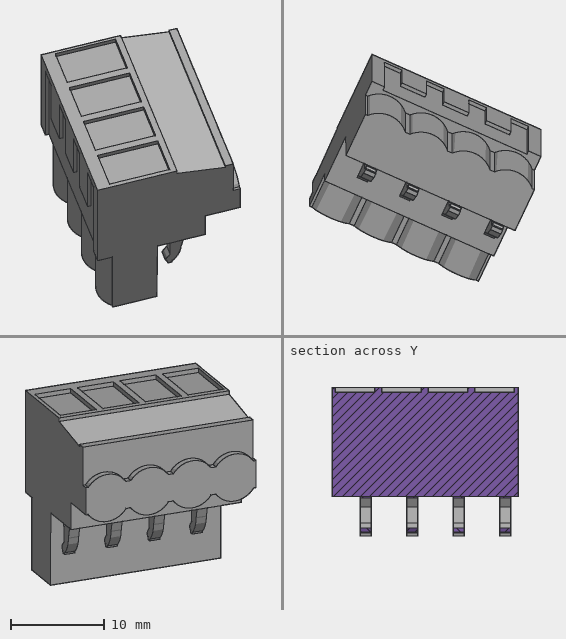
import cadquery as cq

pole_count = 4
width = 20.0
pitch = width / pole_count
height = 20.1

depth = 16.1
base_z = 8.36
rear_wall_y = 15.32
foot_rear_y = 12.16
lip_z = 19.0
lip_front_y = 14.41
slope_low_z = 18.75
slope_high_z = 19.7
deck_rear_y = 8.96

plug_front_y = 1.69
plug_rear_top_y = 6.77
plug_rear_bottom_y = 6.7
barrel_chord = 4.46
barrel_bulge = 0.98

boss_radius = 2.71
boss_z = 13.02
band_half_height = 1.57

pocket_width = 4.22
pocket_front_y = 1.49
pocket_length = 6.8
pocket_depth = 0.5
pocket_shift = -0.06

recess_margin = 1.49
recess_depth = 0.4
recess_top_z = 19.0
fin_width = 2.91
fin_bottom_z = 13.4

hook_width = 1.2
hook_shift = 1.1
hook_root_rear_y = 10.35
hook_root_front_y = 7.98

hook_flare_end = (10.1, 8.12)
hook_back_start = (9.67, 6.37)
hook_back_middle = (9.37, 5.23)
hook_back_end = (8.68, 4.35)

hook_tip_z = 4.12
hook_tip_rear_y = 8.65
hook_tip_front_y = 8.18

hook_knob_low = (8.12, 4.42)
hook_knob_peak = (7.9, 4.72)
hook_knob_high = (8.05, 5.02)
hook_front_y = 8.45
hook_front_low_z = 5.5
hook_front_high_z = 7.25

pole_centres = [(pole + 0.5) * pitch for pole in range(pole_count)]
pole_borders = [pole * pitch for pole in range(1, pole_count)]


def block(x, y, z, size_x, size_y, size_z):
    """Box given by its lowest corner and its sizes."""
    return cq.Workplane("XY").box(size_x, size_y, size_z, centered=False).translate((x, y, z))


def make_shell():
    """Side outline of the main block, rear band and plug, extruded across the width."""
    outline = [
        (0, height),
        (0, base_z),
        (plug_front_y, base_z),
        (plug_front_y, 0),
        (plug_rear_bottom_y, 0),
        (plug_rear_top_y, base_z),
        (foot_rear_y, base_z),
        (foot_rear_y, boss_z - band_half_height),
        (depth, boss_z - band_half_height),
        (depth, boss_z + band_half_height),
        (rear_wall_y, boss_z + band_half_height),
        (rear_wall_y, lip_z),
        (lip_front_y, lip_z),
        (lip_front_y, slope_low_z),
        (deck_rear_y, slope_high_z),
        (deck_rear_y, height),
    ]
    return cq.Workplane("YZ").polyline(outline).close().extrude(width)


def make_barrel(x):
    """Rounded front of the plug at one pole."""
    return (
        cq.Workplane("XY")
        .moveTo(x - barrel_chord / 2, plug_front_y)
        .threePointArc((x, plug_front_y - barrel_bulge), (x + barrel_chord / 2, plug_front_y))
        .close()
        .extrude(base_z)
    )


def make_boss(x):
    """Screw boss on the back at one pole: a disc whose sides are cut off where it meets the band."""
    length = depth - foot_rear_y
    disc = cq.Workplane("XZ", origin=(x, depth, boss_z)).circle(boss_radius).extrude(length)
    chord = 2 * (boss_radius**2 - band_half_height**2) ** 0.5
    return disc.intersect(
        block(x - chord / 2, foot_rear_y, boss_z - boss_radius, chord, length, 2 * boss_radius)
    )


def make_pocket(x):
    """Shallow rectangular wire pocket in the deck at one pole."""
    left = x + pocket_shift - pocket_width / 2
    return block(left, pocket_front_y, height - pocket_depth, pocket_width, pocket_length, pocket_depth)


def make_front_recess():
    """Comb-shaped recess in the front face, open at the bottom."""
    recess_width = width - 2 * recess_margin
    recess = block(recess_margin, 0, base_z, recess_width, recess_depth, recess_top_z - base_z)
    for x in pole_borders:
        fin_height = recess_top_z - fin_bottom_z
        recess = recess.cut(block(x - fin_width / 2, 0, fin_bottom_z, fin_width, recess_depth, fin_height))
    return recess


def make_housing():
    housing = make_shell()
    for x in pole_centres:
        housing = housing.union(make_barrel(x)).union(make_boss(x)).cut(make_pocket(x))
    return housing.cut(make_front_recess())


def make_hook(x):
    """Curved latch hook with a knob at its tip, hanging from the underside of the main block."""
    return (
        cq.Workplane("YZ", origin=(x - hook_width / 2, 0, 0))
        .moveTo(hook_root_rear_y, base_z)
        .lineTo(*hook_flare_end)
        .lineTo(*hook_back_start)
        .threePointArc(hook_back_middle, hook_back_end)
        .lineTo(hook_tip_rear_y, hook_tip_z)
        .lineTo(hook_tip_front_y, hook_tip_z)
        .lineTo(*hook_knob_low)
        .lineTo(*hook_knob_peak)
        .lineTo(*hook_knob_high)
        .lineTo(hook_front_y, hook_front_low_z)
        .lineTo(hook_front_y, hook_front_high_z)
        .lineTo(hook_root_front_y, base_z)
        .close()
        .extrude(hook_width)
    )


housing = make_housing()
hooks = [make_hook(x + hook_shift) for x in pole_centres]

result = cq.Compound.makeCompound([housing.val(), *[hook.val() for hook in hooks]])